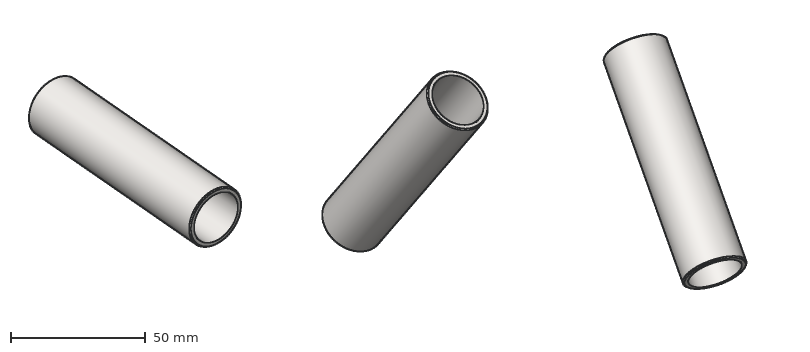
import cadquery as cq

length = 95.0
outer_diameter = 25.0
bore_diameter = 21.0
chamfer_size = 0.5

tube = (
    cq.Workplane("YZ", origin=(-length / 2, 0, 0))
    .circle(outer_diameter / 2)
    .circle(bore_diameter / 2)
    .extrude(length)
)

outer_rims = cq.selectors.RadiusNthSelector(-1)
result = tube.edges("%CIRCLE").edges(outer_rims).chamfer(chamfer_size)